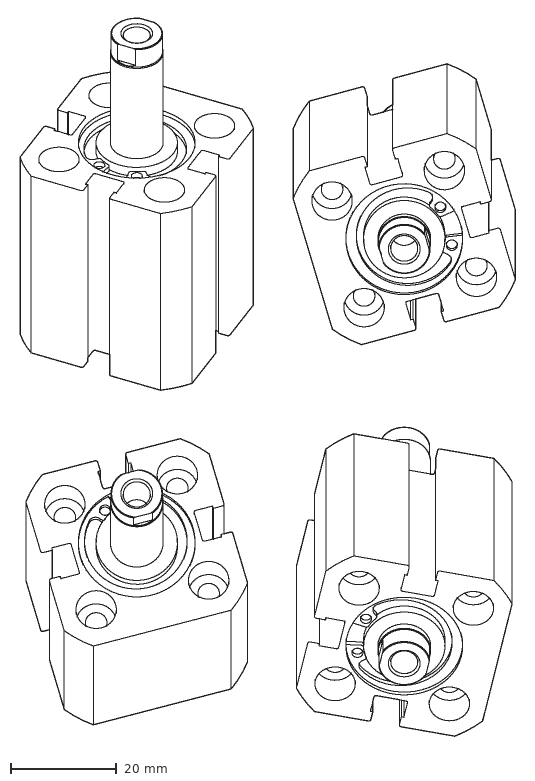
import cadquery as cq
import math


HOUSING_WIDTH = 36.0
HOUSING_HEIGHT = 42.0
CORNER_RADIUS = 22.5
BOLT_OFFSET = 11.0
BOLT_HOLE_DIAMETER = 4.1
COUNTERBORE_DIAMETER = 7.6
COUNTERBORE_DEPTH = 7.0

SLOT_DEPTH = 5.9
SLOT_WIDTH = 6.45
MOUTH_DEPTH = 2.2
MOUTH_WIDTH = 5.5
MOUTH_FILLET = 0.45
SLOT_FLOOR_FILLET = 0.4

ROD_DIAMETER = 10.0
ROD_TOP_EXTENSION = 26.0
ROD_BOTTOM_EXTENSION = 6.0
NECK_DIAMETER = 9.8
NECK_LENGTH = 4.3
SHOULDER_TAPER_LENGTH = 0.2
END_CHAMFER = 0.15
FLAT_SPACING = 9.0
FLAT_LENGTH = 3.85
TAP_DIAMETER = 5.1
TAP_DEPTH = 10.0
TAP_CHAMFER = 0.45
TAP_TIP_ANGLE = 118.0

RECESS_DIAMETER = 22.05
RECESS_DEPTH = 10.0
BOSS_DIAMETER = 15.4
RING_DEPTH = 0.95
RING_THICKNESS = 1.1
FLANGE_DEPTH = RING_DEPTH + RING_THICKNESS
RING_INNER_RADIUS = 9.7
RING_INNER_OFFSET = 0.7
LUG_HALF_ANGLE = math.radians(38.0)
LUG_ROOT_FILLET = 1.3
LUG_TIP_FILLET = 0.45
LUG_TIP_RADIUS = 7.8
LUG_HOLE_DIAMETER = 2.1
LUG_HOLE_X = 3.9
LUG_HOLE_Y = -8.2
GAP_INNER_WIDTH = 3.9
GAP_OUTER_WIDTH = 5.2
GAP_INNER_Y = -7.0

ROD_BOTTOM = -ROD_BOTTOM_EXTENSION
ROD_TOP = HOUSING_HEIGHT + ROD_TOP_EXTENSION
MIDDLE_HEIGHT = HOUSING_HEIGHT / 2


def disc(diameter, bottom, top):
    """Upright cylinder on the rod axis."""
    return cq.Workplane("XY").workplane(offset=bottom).circle(diameter / 2).extrude(top - bottom)


def mirror_to_base(body):
    """Copy of a body from the top end of the housing, placed at the base end."""
    return body.mirror("XY", (0, 0, MIDDLE_HEIGHT))


def make_slot(angle):
    """Stepped sensor slot in the -Y face, turned about the rod axis."""
    face_y = -HOUSING_WIDTH / 2
    floor_y = face_y + SLOT_DEPTH
    step_y = face_y + MOUTH_DEPTH
    wide = (
        cq.Workplane("XY")
        .center(0, (step_y + floor_y) / 2)
        .rect(SLOT_WIDTH, floor_y - step_y)
        .extrude(HOUSING_HEIGHT)
        .edges("|Z and >Y")
        .fillet(SLOT_FLOOR_FILLET)
    )
    half_mouth = MOUTH_WIDTH / 2
    flared_half_mouth = half_mouth + MOUTH_FILLET
    bend = MOUTH_FILLET * (1 - math.sqrt(0.5))
    mouth = (
        cq.Workplane("XY")
        .moveTo(-half_mouth, step_y)
        .lineTo(-half_mouth, face_y + MOUTH_FILLET)
        .threePointArc((-half_mouth - bend, face_y + bend), (-flared_half_mouth, face_y))
        .lineTo(flared_half_mouth, face_y)
        .threePointArc((half_mouth + bend, face_y + bend), (half_mouth, face_y + MOUTH_FILLET))
        .lineTo(half_mouth, step_y)
        .close()
        .extrude(HOUSING_HEIGHT)
    )
    return wide.union(mouth).rotate((0, 0, 0), (0, 0, 1), angle)


def make_housing():
    body = cq.Workplane("XY").rect(HOUSING_WIDTH, HOUSING_WIDTH).extrude(HOUSING_HEIGHT)
    body = body.intersect(disc(2 * CORNER_RADIUS, 0, HOUSING_HEIGHT))
    for angle in (-90, 0, 90):
        body = body.cut(make_slot(angle))

    bolt_centres = [(x, y) for x in (-BOLT_OFFSET, BOLT_OFFSET) for y in (-BOLT_OFFSET, BOLT_OFFSET)]
    bolt_holes = (
        cq.Workplane("XY").pushPoints(bolt_centres).circle(BOLT_HOLE_DIAMETER / 2).extrude(HOUSING_HEIGHT)
    )
    counterbores = (
        cq.Workplane("XY")
        .workplane(offset=HOUSING_HEIGHT - COUNTERBORE_DEPTH)
        .pushPoints(bolt_centres)
        .circle(COUNTERBORE_DIAMETER / 2)
        .extrude(COUNTERBORE_DEPTH)
    )
    recess = disc(RECESS_DIAMETER, HOUSING_HEIGHT - RECESS_DEPTH, HOUSING_HEIGHT)
    body = body.cut(bolt_holes).cut(disc(ROD_DIAMETER, 0, HOUSING_HEIGHT))
    for end_cut in (counterbores, recess):
        body = body.cut(end_cut).cut(mirror_to_base(end_cut))
    return body


def make_end_flat():
    """Material removed above the -Y wrench flat at the rod top; its lower end slopes outward at 45 degrees."""
    flat_y = -FLAT_SPACING / 2
    outer_y = -ROD_DIAMETER / 2
    flat_bottom = ROD_TOP - FLAT_LENGTH
    return (
        cq.Workplane("YZ")
        .polyline(
            [
                (flat_y, ROD_TOP),
                (flat_y, flat_bottom),
                (outer_y, flat_bottom - (flat_y - outer_y)),
                (outer_y, ROD_TOP),
            ]
        )
        .close()
        .extrude(ROD_DIAMETER / 2, both=True)
    )


def make_tapped_hole():
    """Blind hole in the rod top with a countersunk mouth and a drilled tip."""
    radius = TAP_DIAMETER / 2
    full_depth_z = ROD_TOP - TAP_DEPTH
    tip_length = radius / math.tan(math.radians(TAP_TIP_ANGLE / 2))
    return (
        cq.Workplane("XZ")
        .polyline(
            [
                (0, ROD_TOP),
                (radius + TAP_CHAMFER, ROD_TOP),
                (radius, ROD_TOP - TAP_CHAMFER),
                (radius, full_depth_z),
                (0, full_depth_z - tip_length),
            ]
        )
        .close()
        .revolve(360, (0, 0), (0, 1))
    )


def make_rod():
    rod_middle_z = (ROD_BOTTOM + ROD_TOP) / 2
    shaft_top = ROD_TOP - NECK_LENGTH - SHOULDER_TAPER_LENGTH
    upper_half = (
        cq.Workplane("XZ")
        .polyline(
            [
                (0, rod_middle_z),
                (ROD_DIAMETER / 2, rod_middle_z),
                (ROD_DIAMETER / 2, shaft_top),
                (NECK_DIAMETER / 2, shaft_top + SHOULDER_TAPER_LENGTH),
                (NECK_DIAMETER / 2, ROD_TOP - END_CHAMFER),
                (NECK_DIAMETER / 2 - END_CHAMFER, ROD_TOP),
                (0, ROD_TOP),
            ]
        )
        .close()
        .revolve(360, (0, 0), (0, 1))
    )
    flat = make_end_flat()
    upper_half = upper_half.cut(flat).cut(flat.mirror("XZ")).cut(make_tapped_hole())
    return upper_half.union(upper_half.mirror("XY", (0, 0, rod_middle_z)))


def make_collar():
    """Rod guide: a flange filling the recess and a boss flush with the housing top."""
    recess_floor = HOUSING_HEIGHT - RECESS_DEPTH
    flange = disc(RECESS_DIAMETER, recess_floor, HOUSING_HEIGHT - FLANGE_DEPTH)
    boss = disc(BOSS_DIAMETER, recess_floor, HOUSING_HEIGHT)
    return flange.union(boss).cut(disc(ROD_DIAMETER, recess_floor, HOUSING_HEIGHT))


def make_snap_ring():
    """Open retaining ring, widest at its +Y side, with two plier lugs beside the -Y gap."""
    plane = cq.Workplane("XY").workplane(offset=HOUSING_HEIGHT - FLANGE_DEPTH)
    outer_radius = RECESS_DIAMETER / 2

    wedge_x = RECESS_DIAMETER * math.sin(LUG_HALF_ANGLE)
    wedge_y = -RECESS_DIAMETER * math.cos(LUG_HALF_ANGLE)
    wedge = plane.polyline([(0, 0), (-wedge_x, wedge_y), (wedge_x, wedge_y)]).close().extrude(RING_THICKNESS)
    opening = (
        plane.center(0, -RING_INNER_OFFSET)
        .circle(RING_INNER_RADIUS)
        .extrude(RING_THICKNESS)
        .cut(wedge)
        .edges("|Z and (<X or >X or <Y)")
        .fillet(LUG_ROOT_FILLET)
    )

    gap = (
        plane.polyline(
            [
                (-GAP_INNER_WIDTH / 2, GAP_INNER_Y),
                (-GAP_OUTER_WIDTH / 2, -outer_radius),
                (GAP_OUTER_WIDTH / 2, -outer_radius),
                (GAP_INNER_WIDTH / 2, GAP_INNER_Y),
            ]
        )
        .close()
        .extrude(RING_THICKNESS)
    )
    lug_holes = (
        plane.pushPoints([(-LUG_HOLE_X, LUG_HOLE_Y), (LUG_HOLE_X, LUG_HOLE_Y)])
        .circle(LUG_HOLE_DIAMETER / 2)
        .extrude(RING_THICKNESS)
    )
    boss_clearance = plane.circle(LUG_TIP_RADIUS).extrude(RING_THICKNESS)
    ring = plane.circle(outer_radius).extrude(RING_THICKNESS)
    ring = ring.cut(opening).cut(boss_clearance).cut(gap)

    tip_limit = LUG_TIP_RADIUS + LUG_TIP_FILLET
    tips = ring.edges("|Z").filter(lambda edge: math.hypot(edge.Center().x, edge.Center().y) < tip_limit)
    return tips.fillet(LUG_TIP_FILLET).cut(lug_holes)


housing = make_housing()
rod = make_rod()
top_collar = make_collar()
top_snap_ring = make_snap_ring()

bodies = [housing.val(), rod.val()]
for end_body in (top_collar, top_snap_ring):
    bodies.append(end_body.val())
    bodies.append(mirror_to_base(end_body).val())

result = cq.Compound.makeCompound(bodies)